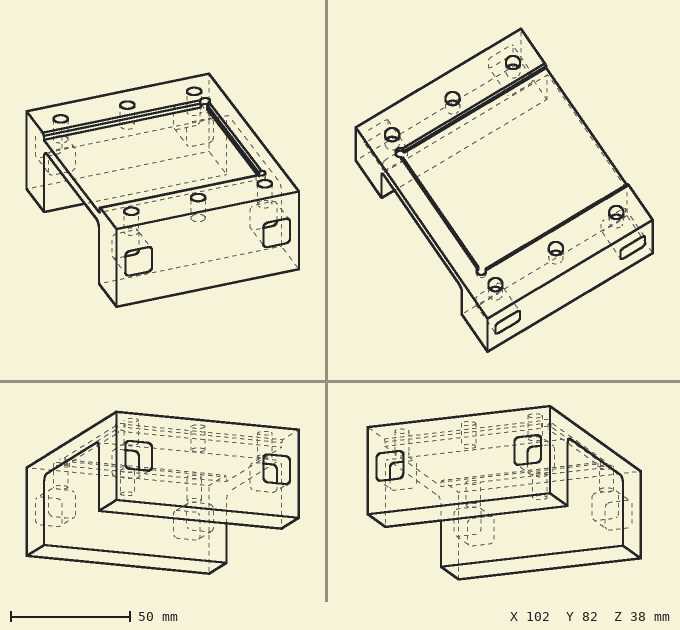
import cadquery as cq

length = 102.0
width = 82.0
height = 38.0

leg_thickness = 20.0
bridge_fillet = 3.0
cover_thickness = 3.0
bridge_thickness = 5.0
bridge_top = height - cover_thickness
bridge_bottom = bridge_top - bridge_thickness

recess_width = 62.8
recess_back_margin = 9.5
recess_chamfer = 1.0
relief_diameter = 4.1

hole_diameter = 6.0
hole_depth = 10.0
hole_spacing_x = 80.0
hole_spacing_y = 30.0

side_pocket_depth = 15.0
side_pocket_size = 12.0
side_pocket_corner_radius = 2.0
side_pocket_spacing = 62.0
side_pocket_center_z = 20.0

back = width / 2
recess_back = back - recess_back_margin


def make_bridge():
    """Block with a full-width channel underneath, leaving two legs."""
    block = cq.Workplane("XY").box(length, width, height, centered=(True, True, False))
    channel = (
        cq.Workplane("XY")
        .box(length - 2 * leg_thickness, width, bridge_bottom, centered=(True, True, False))
        .edges("|Y and >Z")
        .fillet(bridge_fillet)
    )
    return block.cut(channel)


def make_recess():
    """Recess open at the front, with a chamfered upper rim and round corner reliefs."""
    recess_length = recess_back + back
    pocket = (
        cq.Workplane("XY", origin=(0, recess_back - recess_length / 2, bridge_top))
        .box(recess_width, recess_length, cover_thickness, centered=(True, True, False))
    )
    rim_length = recess_length + 2 * recess_chamfer
    rim = (
        cq.Workplane("XY", origin=(0, recess_back + recess_chamfer - rim_length / 2, height))
        .rect(recess_width + 2 * recess_chamfer, rim_length)
        .extrude(-recess_chamfer, taper=45)
    )
    reliefs = (
        cq.Workplane("XY", origin=(0, recess_back, bridge_top))
        .pushPoints([(-recess_width / 2, 0), (recess_width / 2, 0)])
        .circle(relief_diameter / 2)
        .extrude(cover_thickness)
    )
    return pocket.union(rim).union(reliefs)


def make_top_holes():
    """Two rows of three blind holes, one row over each leg."""
    return (
        cq.Workplane("XY", origin=(0, 0, height))
        .rarray(hole_spacing_x, hole_spacing_y, 2, 3)
        .circle(hole_diameter / 2)
        .extrude(-hole_depth)
    )


def make_side_pockets():
    """Rounded square pockets sunk into the outer face of each leg."""
    left_pockets = (
        cq.Workplane("YZ", origin=(-length / 2, 0, side_pocket_center_z))
        .rarray(side_pocket_spacing, 1, 2, 1)
        .rect(side_pocket_size, side_pocket_size)
        .extrude(side_pocket_depth)
        .edges("|X")
        .fillet(side_pocket_corner_radius)
    )
    return left_pockets.union(left_pockets.mirror("YZ"))


result = (
    make_bridge()
    .cut(make_recess())
    .cut(make_top_holes())
    .cut(make_side_pockets())
)